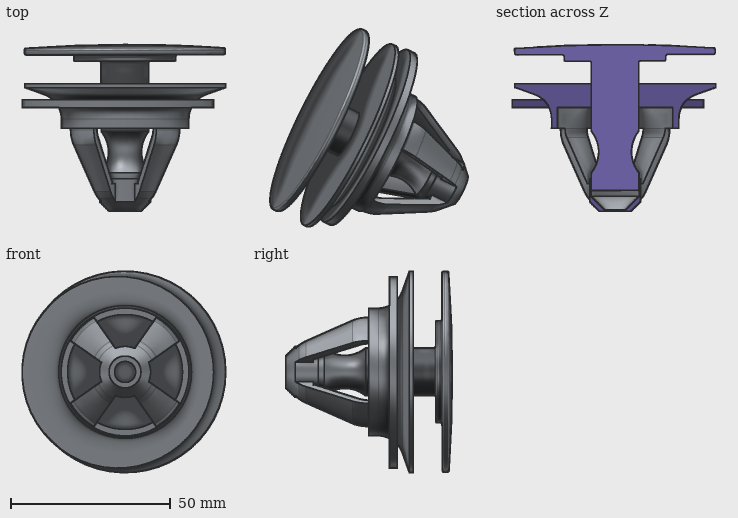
import cadquery as cq
import math


head_radius = 31.5
head_underside_y = 9.0
head_rim_y = 11.1
head_crown_y = 12.24
head_rim_fillet = 0.7
boss_radius = 16.0
boss_underside_y = 7.0
pin_fillet = 0.5
pin_radius = 7.5
waist_start_y = -14.9
waist_end_y = -27.9
waist_radius = 5.2
pin_end_y = -33.5
pin_tilt_about_x = 0.12
pin_tilt_about_z = 0.13

plate_radius = 31.55
plate_rim_thickness = 1.25
flare_angle = 20.0
flare_arc_radius = 8.0
collar_radius = 20.0
collar_start_y = -11.0
collar_end_y = -14.0
collar_bore_radius = 18.0
collar_floor_y = -7.5

arm_angle = 28.2
arm_top_radius = 19.7
arm_bend_y = -14.4
arm_outer_bend_radius = 10.0
arm_inner_bend_radius = 6.0
arm_taper_end_y = -33.7
nose_blend_y = -35.9
nose_base_y = -37.0
nose_tip_y = -40.0
nose_tip_radius = 5.0
core_radius = 8.0
core_start_y = -29.8
cavity_end_y = -31.3
tip_hole_radius = 3.3
tip_hole_depth = 0.5
slot_half_width = 3.0
slot_side_angle = 35.0
slot_count = 4

washer_radius = 30.0
washer_top_y = -5.0
washer_bottom_y = collar_floor_y
washer_offset_x = -2.28
washer_offset_z = -0.1


def revolved(profile):
    """Turn a closed radius/Y profile into a solid around the Y axis."""
    return profile.close().revolve(360, (0, 0, 0), (0, 1, 0))


def cylinder(radius, start_y, end_y):
    """Cylinder on the Y axis from start_y down to end_y."""
    return cq.Workplane("XZ", origin=(0, start_y, 0)).circle(radius).extrude(start_y - end_y)


def bend_point(start_radius, start_y, bend_radius, angle):
    """Point on an arc that leaves the Y direction and curves inwards through the angle."""
    turn = math.radians(angle)
    return (
        start_radius - bend_radius * (1 - math.cos(turn)),
        start_y - bend_radius * math.sin(turn),
    )


def make_pin():
    """Domed head, boss, shank and concave waist, turned about Y and set askew."""
    waist_mid_y = (waist_start_y + waist_end_y) / 2
    dome_sag = head_crown_y - head_rim_y
    dome_radius = (head_radius**2 + dome_sag**2) / (2 * dome_sag)
    half_radius = head_radius / 2
    half_y = head_crown_y - dome_radius + math.sqrt(dome_radius**2 - half_radius**2)
    head = revolved(
        cq.Workplane("XY")
        .moveTo(0, head_crown_y)
        .threePointArc((half_radius, half_y), (head_radius, head_rim_y))
        .lineTo(head_radius, head_underside_y)
        .lineTo(0, head_underside_y)
    )
    head = head.faces("%CYLINDER").edges("%CIRCLE").fillet(head_rim_fillet)
    boss_and_shank = revolved(
        cq.Workplane("XY")
        .moveTo(0, head_underside_y)
        .lineTo(boss_radius + pin_fillet, head_underside_y)
        .radiusArc((boss_radius, head_underside_y - pin_fillet), -pin_fillet)
        .lineTo(boss_radius, boss_underside_y + pin_fillet)
        .radiusArc((boss_radius - pin_fillet, boss_underside_y), pin_fillet)
        .lineTo(pin_radius + pin_fillet, boss_underside_y)
        .radiusArc((pin_radius, boss_underside_y - pin_fillet), -pin_fillet)
        .lineTo(pin_radius, waist_start_y)
        .threePointArc((waist_radius, waist_mid_y), (pin_radius, waist_end_y))
        .lineTo(pin_radius, pin_end_y)
        .lineTo(0, pin_end_y)
    )
    pivot = (0, core_start_y, 0)
    pin = head.union(boss_and_shank)
    pin = pin.rotate(pivot, (1, core_start_y, 0), pin_tilt_about_x)
    return pin.rotate(pivot, (0, core_start_y, 1), pin_tilt_about_z)


def make_flare():
    """Flared plate running through a hollow arc into the straight collar."""
    slope = math.radians(flare_angle)
    flare_end = (
        collar_radius + flare_arc_radius * (1 - math.sin(slope)),
        collar_start_y + flare_arc_radius * math.cos(slope),
    )
    return revolved(
        cq.Workplane("XY")
        .lineTo(plate_radius, 0)
        .lineTo(plate_radius, -plate_rim_thickness)
        .lineTo(*flare_end)
        .radiusArc((collar_radius, collar_start_y), -flare_arc_radius)
        .lineTo(collar_radius, collar_end_y)
        .lineTo(0, collar_end_y)
    )


def make_slots():
    """Four flaring slots that leave the arms between them and stop at the nose."""
    core_chord_z = math.sqrt(core_radius**2 - slot_half_width**2)
    spread = math.tan(math.radians(slot_side_angle))
    outer_half_width = slot_half_width + spread * (collar_radius - core_chord_z)
    slot = (
        cq.Workplane("XZ", origin=(0, collar_end_y, 0))
        .polyline([
            (-slot_half_width, 0),
            (slot_half_width, 0),
            (slot_half_width, core_chord_z),
            (outer_half_width, collar_radius),
            (-outer_half_width, collar_radius),
            (-slot_half_width, core_chord_z),
        ])
        .close()
        .extrude(collar_end_y - nose_base_y)
    )
    slots = slot
    for index in range(1, slot_count):
        slots = slots.union(slot.rotate((0, 0, 0), (0, 1, 0), index * 360 / slot_count))
    return slots


def make_socket():
    """Bore that takes the pin's end and narrows, parallel to the nose, to the tip hole."""
    hole_start_y = nose_tip_y + tip_hole_depth
    bore_end_y = hole_start_y + pin_radius - tip_hole_radius
    return revolved(
        cq.Workplane("XY")
        .moveTo(0, core_start_y)
        .lineTo(pin_radius, core_start_y)
        .lineTo(pin_radius, bore_end_y)
        .lineTo(tip_hole_radius, hole_start_y)
        .lineTo(tip_hole_radius, nose_tip_y)
        .lineTo(0, nose_tip_y)
    )


def make_cage():
    """Hollow tapered cage, slotted into four arms, with a hollow core and conical nose."""
    slope = math.tan(math.radians(arm_angle))
    outer_bend = bend_point(arm_top_radius, arm_bend_y, arm_outer_bend_radius, arm_angle)
    taper_end_radius = outer_bend[0] - slope * (outer_bend[1] - arm_taper_end_y)
    blend_end_radius = nose_tip_radius + nose_blend_y - nose_tip_y
    inner_bend = bend_point(collar_bore_radius, collar_end_y, arm_inner_bend_radius, arm_angle)
    cavity_end_radius = inner_bend[0] - slope * (inner_bend[1] - cavity_end_y)
    shell = revolved(
        cq.Workplane("XY")
        .moveTo(0, collar_end_y)
        .lineTo(arm_top_radius, collar_end_y)
        .lineTo(arm_top_radius, arm_bend_y)
        .radiusArc(outer_bend, arm_outer_bend_radius)
        .lineTo(taper_end_radius, arm_taper_end_y)
        .tangentArcPoint((blend_end_radius, nose_blend_y), relative=False)
        .lineTo(nose_tip_radius, nose_tip_y)
        .lineTo(0, nose_tip_y)
    )
    cavity = revolved(
        cq.Workplane("XY")
        .moveTo(0, collar_end_y)
        .lineTo(collar_bore_radius, collar_end_y)
        .radiusArc(inner_bend, arm_inner_bend_radius)
        .lineTo(cavity_end_radius, cavity_end_y)
        .lineTo(0, cavity_end_y)
    )
    core = cylinder(core_radius, core_start_y, nose_base_y)
    return shell.cut(cavity).cut(make_slots()).union(core).cut(make_socket())


def make_retainer(flare, pin):
    """Flare, collar and cage in one piece, bored for the pin."""
    collar_bore = cylinder(collar_bore_radius, collar_floor_y, collar_end_y)
    return flare.cut(collar_bore).union(make_cage()).cut(pin)


def make_washer(flare):
    """Eccentric disc whose hole follows the flare it sits on."""
    disc = cylinder(washer_radius, washer_top_y, washer_bottom_y)
    return disc.translate((washer_offset_x, 0, washer_offset_z)).cut(flare)


flare = make_flare()
pin = make_pin()
retainer = make_retainer(flare, pin)
washer = make_washer(flare)

result = cq.Compound.makeCompound([pin.val(), retainer.val(), washer.val()])